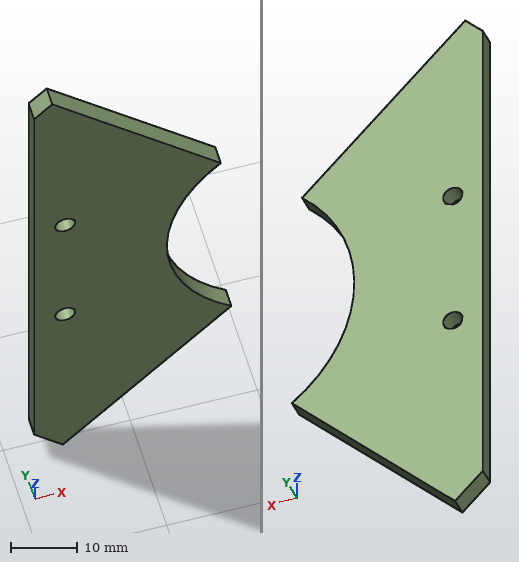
import cadquery as cq

height = 92.2
width = 31.1
thickness = 3.0

top_chamfer = 2.9
bottom_chamfer = 4.5

slope_run = width - bottom_chamfer

arc_left_x = 20.9
arc_center_z = 47.0

hole_diameter = 3.1
hole_x = 4.9
hole_spacing = 24.0
lower_hole_z = 34.95


def make_plate():
    """Outline drawn in XZ and extruded towards +Y."""
    return (
        cq.Workplane("XZ")
        .moveTo(0, bottom_chamfer)
        .lineTo(bottom_chamfer, 0)
        .lineTo(width, slope_run)
        .threePointArc(
            (arc_left_x, arc_center_z),
            (top_chamfer + slope_run, height - slope_run),
        )
        .lineTo(top_chamfer, height)
        .lineTo(0, height - top_chamfer)
        .close()
        .extrude(-thickness)
    )


def make_holes():
    """Two through holes, one above the other."""
    hole_centers = [(hole_x, lower_hole_z), (hole_x, lower_hole_z + hole_spacing)]
    return (
        cq.Workplane("XZ")
        .pushPoints(hole_centers)
        .circle(hole_diameter / 2)
        .extrude(-thickness)
    )


result = make_plate().cut(make_holes())